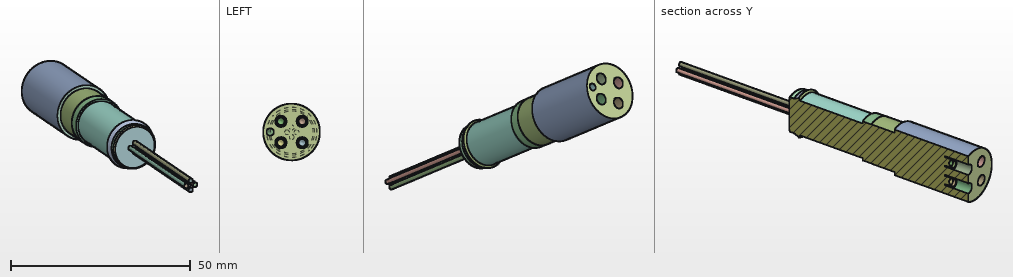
import cadquery as cq

total_length = 102.2

head_diameter = 15.8
head_end = 25.6
collar_diameter = 14.0
collar_step = 33.6
collar_rear_diameter = 13.9
collar_end = 36.7
barrel_diameter = 12.7
body_end = 62.2
rear_chamfer = 0.4

ring_start = 58.3
ring_peak = 58.8
ring_end = 60.5
ring_diameter = 14.0

contact_pitch = 5.9
cavity_diameter = 3.2
cavity_depth = 8.2
tube_diameter = 2.8
tube_recess = 5.1
bore_diameter = 2.0
bore_depth = 6.1
bore_tip_depth = 0.6

key_diameter = 2.0
key_offset = 5.9
key_depth = 6.1

wire_count = 4
wire_diameter = 1.3
wire_circle_radius = 1.3
wire_embed = 1.0


def rod(diameter, x_start, x_end):
    """Cylinder about the X axis between two X positions."""
    return cq.Workplane("YZ", origin=(x_start, 0, 0)).circle(diameter / 2).extrude(x_end - x_start)


def turned(profile):
    """Solid of revolution about the X axis from (x, radius) points."""
    return cq.Workplane("XY").polyline(profile).close().revolve(360, (0, 0, 0), (1, 0, 0))


def make_body():
    """Stepped body: head, collar, barrel with the barbed ring, chamfered rear end."""
    barrel_radius = barrel_diameter / 2
    return turned([
        (0, 0),
        (0, head_diameter / 2),
        (head_end, head_diameter / 2),
        (head_end, collar_diameter / 2),
        (collar_step, collar_diameter / 2),
        (collar_step, collar_rear_diameter / 2),
        (collar_end, collar_rear_diameter / 2),
        (collar_end, barrel_radius),
        (ring_start, barrel_radius),
        (ring_peak, ring_diameter / 2),
        (ring_end, barrel_radius),
        (body_end - rear_chamfer, barrel_radius),
        (body_end, barrel_radius - rear_chamfer),
        (body_end, 0),
    ])


def make_contact_void():
    """Space to remove for one contact: the cavity, less a tube with a conical-bottomed bore."""
    cavity = rod(cavity_diameter, 0, cavity_depth)
    tube = rod(tube_diameter, tube_recess, cavity_depth)
    bore = turned([
        (0, 0),
        (0, bore_diameter / 2),
        (bore_depth, bore_diameter / 2),
        (bore_depth + bore_tip_depth, 0),
    ])
    return cavity.cut(tube.cut(bore))


result = make_body()

contact_void = make_contact_void()
for y in (-contact_pitch / 2, contact_pitch / 2):
    for z in (-contact_pitch / 2, contact_pitch / 2):
        result = result.cut(contact_void.translate((0, y, z)))

result = result.cut(rod(key_diameter, 0, key_depth).translate((0, key_offset, 0)))

wire = rod(wire_diameter, body_end - wire_embed, total_length).translate((0, 0, wire_circle_radius))
for index in range(wire_count):
    result = result.union(wire.rotate((0, 0, 0), (1, 0, 0), index * 360 / wire_count))